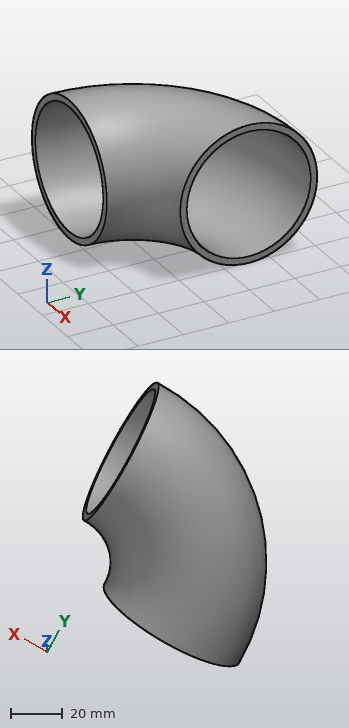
import cadquery as cq

overall_length = 81.15
outer_diameter = 60.3
wall_thickness = 2.9
bend_angle = 90.0

outer_radius = outer_diameter / 2
inner_radius = outer_radius - wall_thickness
bend_radius = overall_length - outer_radius


def pipe_elbow():
    """Sweep the pipe section from the -Y facing end to the +X facing end.

    The bend axis is the Z axis, so the first end lies in the XZ plane.
    """
    section = cq.Workplane("XZ").center(-bend_radius, 0).circle(outer_radius).circle(inner_radius)
    axis_start = (bend_radius, 0, 0)
    axis_end = (bend_radius, -1, 0)
    return section.revolve(bend_angle, axis_start, axis_end)


result = pipe_elbow()